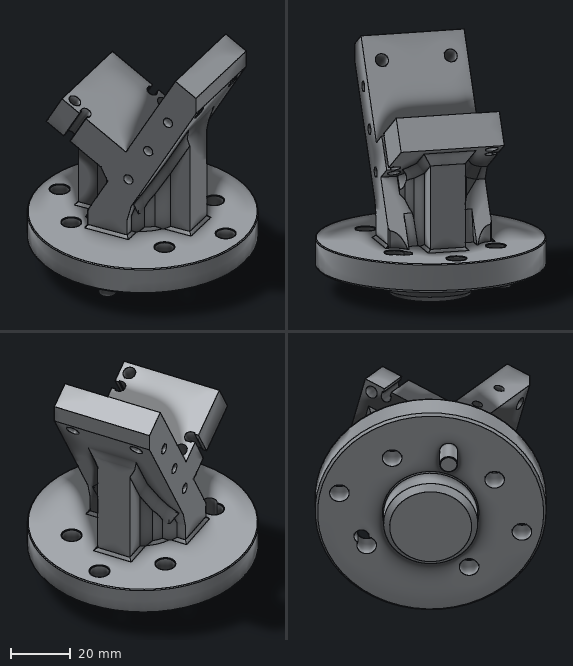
import cadquery as cq
import math

FLANGE_DIAMETER = 77.5
FLANGE_THICKNESS = 10.0
FLANGE_TOP_BREAK = 0.3
FLANGE_BOTTOM_CHAMFER = 0.85
BOSS_DIAMETER = 31.5
BOSS_HEIGHT = 9.0
BOSS_CHAMFER = 2.0
BOSS_ROOT = 0.4
PIN_DIAMETER = 6.0
PIN_CIRCLE_RADIUS = 25.0
PIN_END = 0.25
FLANGE_TOP = BOSS_HEIGHT + FLANGE_THICKNESS

BOLT_DIAMETER = 6.5
BOLT_BREAK = 0.25
BOLT_OFFSET = PIN_CIRCLE_RADIUS * math.sqrt(0.5)
OUTER_BOLT_RADIUS = 31.5
DOWEL_DIAMETER = 5.0
DOWEL_ANGLE = 144

TOTAL_HEIGHT = 84.5
TILT = math.radians(30)
PLATE_THICKNESS = 12.0
BRACKET_WIDTH = 36.0
SEAT_LENGTH = 28.05
BACK_LENGTH = 37.5
BACK_TIP_WIDTH = 9.0
CORNER_X = 3.2
CORNER_Z = TOTAL_HEIGHT - BACK_LENGTH * math.cos(TILT)

CROSS_HOLE_DIAMETER = 3.5
CROSS_HOLE_MIDDLE = 6.5
CROSS_HOLE_PITCH = 15.0
BACK_HOLE_DIAMETER = 4.5
BACK_HOLE_DISTANCE = 28.55
BACK_HOLE_Y = 12.0
SEAT_HOLE_DIAMETER = 4.3
SEAT_HOLE_Y = 14.45
SEAT_HOLE_NEAR = 3.55
SEAT_HOLE_FAR = 24.5
SLOT_WIDTH = 3.6
SLOT_NECK_WIDTH = 2.7
SLOT_CENTRE_Y = 15.4
SLOT_SHOULDER_Y = 16.5
SLOT_FROM_HOLE = 5.5

WEB_LENGTH = 42.2
WEB_WIDTH = 12.2
STEM_WIDTH = 7.4
CORE_RADIUS = 12.5
INNER_CHAMFER = 2.95
END_CHAMFER = 2.3
FOOT = 1.0

GUSSET_FOOT_X = -11.15
GUSSET_CORNER = 0.6
SCREW_CLEARANCE_RADIUS = 6.0
RELIEF_HEIGHT = 12.7
RELIEF_BOTTOM_X = -11.0
RELIEF_TOP_X = -8.45
RELIEF_HALF_WIDTH = 11.8

HEAD_RADIUS = 4.0
HEAD_DEPTH = 10.1
HEAD_INNER_Y = 12.3

HALF_WIDTH = BRACKET_WIDTH / 2
HALF_STEM = STEM_WIDTH / 2
HALF_WEB = WEB_WIDTH / 2
SIGNS = (1, -1)


def tilted(along_back, behind_back):
    """XZ point at distances up the back and behind its front face, from the inner corner."""
    x = CORNER_X + along_back * math.sin(TILT) + behind_back * math.cos(TILT)
    z = CORNER_Z + along_back * math.cos(TILT) - behind_back * math.sin(TILT)
    return x, z


def prism_along_y(points, width):
    return cq.Workplane("XZ").polyline(points).close().extrude(width / 2, both=True)


def make_base():
    radius = FLANGE_DIAMETER / 2
    flange = cq.Workplane("XY").workplane(offset=BOSS_HEIGHT).circle(radius).extrude(FLANGE_THICKNESS)
    flange = flange.faces(">Z").chamfer(FLANGE_TOP_BREAK)
    flange = flange.faces("<Z").chamfer(FLANGE_BOTTOM_CHAMFER)
    boss = cq.Workplane("XY").circle(BOSS_DIAMETER / 2).extrude(BOSS_HEIGHT)
    boss = boss.faces("<Z").chamfer(BOSS_CHAMFER)
    root = (
        cq.Workplane("XY").workplane(offset=BOSS_HEIGHT)
        .circle(BOSS_DIAMETER / 2 + BOSS_ROOT).extrude(-BOSS_ROOT, taper=45)
    )
    pin = (
        cq.Workplane("XY").workplane(offset=PIN_END).center(0, -PIN_CIRCLE_RADIUS)
        .circle(PIN_DIAMETER / 2).extrude(BOSS_HEIGHT - PIN_END)
        .faces("<Z").chamfer(PIN_END)
    )
    return flange.union(boss).union(root).union(pin)


def make_flange_holes():
    bolts = [(sx * BOLT_OFFSET, sy * BOLT_OFFSET) for sx in SIGNS for sy in SIGNS]
    bolts += [(sx * OUTER_BOLT_RADIUS, 0) for sx in SIGNS]
    top = cq.Workplane("XY").workplane(offset=FLANGE_TOP)
    holes = top.pushPoints(bolts).circle(BOLT_DIAMETER / 2).extrude(-FLANGE_THICKNESS)
    for x, y in bolts:
        mouth = top.center(x, y).circle(BOLT_DIAMETER / 2 + BOLT_BREAK).extrude(-BOLT_BREAK, taper=45)
        holes = holes.union(mouth)
    angle = math.radians(DOWEL_ANGLE)
    dowel = (
        top.center(PIN_CIRCLE_RADIUS * math.cos(angle), PIN_CIRCLE_RADIUS * math.sin(angle))
        .circle(DOWEL_DIAMETER / 2).extrude(-FLANGE_THICKNESS)
    )
    return holes.union(dowel)


def stem_chamfer_levels():
    """Upper X and Z, and lower Z, of the chamfer between the back underside and the stem."""
    rise = (HALF_STEM - tilted(0, PLATE_THICKNESS)[0]) / math.sin(TILT)
    top_x, top_z = tilted(rise + INNER_CHAMFER, PLATE_THICKNESS)
    bottom_z = tilted(rise, PLATE_THICKNESS)[1] - INNER_CHAMFER
    return top_x, top_z, bottom_z


def make_bracket():
    underside = PLATE_THICKNESS
    root_x, root_z, stem_z = stem_chamfer_levels()
    inner_x, inner_z = tilted(-underside, underside)
    middle_z = inner_z + inner_x * math.tan(TILT)
    tip_rise = (underside - BACK_TIP_WIDTH) / math.tan(TILT)
    return prism_along_y(
        [
            tilted(0, 0),
            tilted(BACK_LENGTH, 0),
            tilted(BACK_LENGTH, BACK_TIP_WIDTH),
            tilted(BACK_LENGTH - tip_rise, underside),
            (root_x, root_z),
            (HALF_STEM, stem_z),
            (0, stem_z),
            (0, middle_z),
            tilted(-underside, -SEAT_LENGTH),
            tilted(0, -SEAT_LENGTH),
        ],
        BRACKET_WIDTH,
    )


def column_corner():
    """Plan points of the +X +Y quarter, from the end of the web to the end of the stem."""
    web_meets_core = math.asin(HALF_WEB / CORE_RADIUS)
    stem_meets_core = math.acos(HALF_STEM / CORE_RADIUS)
    chamfer_angle = 2 * math.asin(INNER_CHAMFER / 2 / CORE_RADIUS)

    def on_core(angle):
        return CORE_RADIUS * math.cos(angle), CORE_RADIUS * math.sin(angle)

    return [
        (WEB_LENGTH / 2, HALF_WEB),
        (on_core(web_meets_core)[0] + INNER_CHAMFER, HALF_WEB),
        on_core(web_meets_core + chamfer_angle),
        on_core(stem_meets_core - chamfer_angle),
        (HALF_STEM, on_core(stem_meets_core)[1] + INNER_CHAMFER),
        (HALF_STEM, HALF_WIDTH),
    ]


def column_outline():
    corner = column_corner()
    right = [(x, -y) for x, y in reversed(corner)] + corner
    return right + [(-x, -y) for x, y in right]


def make_column():
    top = cq.Workplane("XY").workplane(offset=FLANGE_TOP)
    height = TOTAL_HEIGHT - FLANGE_TOP
    column = top.polyline(column_outline()).close().extrude(height)
    column = column.union(top.circle(CORE_RADIUS).extrude(height))

    grow = 2 * FOOT
    column = column.union(top.rect(WEB_LENGTH + grow, WEB_WIDTH + grow).extrude(FOOT, taper=45))
    column = column.union(top.circle(CORE_RADIUS + FOOT).extrude(FOOT, taper=45))

    far = TOTAL_HEIGHT
    below = prism_along_y(
        [
            tilted(-PLATE_THICKNESS, PLATE_THICKNESS),
            tilted(far, PLATE_THICKNESS),
            (far, -far),
            (-far, -far),
            tilted(-PLATE_THICKNESS, -far),
        ],
        FLANGE_DIAMETER,
    )
    return column.intersect(below)


def make_underside_chamfer(slope, clip_points):
    """Chamfer between the column and a plate underside rising at `slope` towards +X."""
    corner_x, corner_z = tilted(-PLATE_THICKNESS, PLATE_THICKNESS)
    centre_z = corner_z - corner_x * math.tan(slope)
    along = (math.cos(slope), 0, math.sin(slope))
    downward = (math.sin(slope), 0, -math.cos(slope))
    section = [(x / math.cos(slope), y) for x, y in column_outline()]
    lower_z = centre_z - INNER_CHAMFER / math.cos(slope)
    upper = cq.Workplane(cq.Plane((0, 0, centre_z), along, downward)).polyline(section).close()
    lower = cq.Workplane(cq.Plane((0, 0, lower_z), along, downward)).polyline(section).close()
    wires = [upper.offset2D(INNER_CHAMFER, "intersection").val(), lower.val()]
    wedge = cq.Workplane(cq.Solid.makeLoft(wires, True))
    return wedge.intersect(prism_along_y(clip_points, BRACKET_WIDTH))


def make_seat_chamfer():
    left = -WEB_LENGTH
    return make_underside_chamfer(
        -TILT, [(0, FLANGE_TOP), (0, TOTAL_HEIGHT), (left, TOTAL_HEIGHT), (left, FLANGE_TOP)]
    )


def make_back_chamfer():
    web_end = WEB_LENGTH / 2
    rise = (web_end - tilted(0, PLATE_THICKNESS)[0]) / math.sin(TILT)
    end_top = tilted(rise + END_CHAMFER, PLATE_THICKNESS)
    edge_z = tilted(rise, PLATE_THICKNESS)[1]
    end_bottom = (web_end, edge_z - END_CHAMFER)
    top_x, top_z, bottom_z = stem_chamfer_levels()
    return make_underside_chamfer(
        math.pi / 2 - TILT,
        [
            (0, bottom_z),
            (HALF_STEM, bottom_z),
            (top_x, top_z),
            (top_x, bottom_z),
            (web_end, bottom_z),
            end_bottom,
            end_top,
            (0, end_top[1]),
        ],
    )


def slope_behind_back():
    """Distance of the gusset slope behind the front face of the back."""
    return (INNER_CHAMFER + PLATE_THICKNESS) * math.tan(TILT) - (CORNER_X + HALF_STEM) / math.cos(TILT)


def make_gusset():
    behind = slope_behind_back()
    top_x, top_z = tilted(-PLATE_THICKNESS - INNER_CHAMFER, behind)
    toe_x = top_x - (top_z - FLANGE_TOP) * math.tan(TILT)
    gusset = prism_along_y([(top_x, top_z), (toe_x, FLANGE_TOP), (0, FLANGE_TOP), (0, top_z)], BRACKET_WIDTH)

    height = top_z - FLANGE_TOP
    top = cq.Workplane("XY").workplane(offset=FLANGE_TOP)

    foot_length = HALF_STEM - GUSSET_FOOT_X
    foot = (
        top.center(HALF_STEM - foot_length / 2, 0)
        .rect(foot_length + 2 * FOOT, BRACKET_WIDTH + 2 * FOOT).extrude(FOOT, taper=45)
    )
    gusset = gusset.union(foot)

    for side in SIGNS:
        bolt = top.center(-BOLT_OFFSET, side * BOLT_OFFSET)
        clearance = bolt.circle(SCREW_CLEARANCE_RADIUS).extrude(height)
        corner = top.polyline(
            [
                (GUSSET_FOOT_X, side * HALF_WIDTH),
                (GUSSET_FOOT_X - GUSSET_CORNER, side * (HALF_WIDTH - GUSSET_CORNER)),
                (GUSSET_FOOT_X - GUSSET_CORNER, side * HALF_WIDTH),
            ]
        ).close().extrude(height)
        gusset = gusset.cut(clearance).cut(corner)

    relief = prism_along_y(
        [
            (RELIEF_BOTTOM_X, FLANGE_TOP),
            (RELIEF_TOP_X, FLANGE_TOP + RELIEF_HEIGHT),
            (-WEB_LENGTH / 2, FLANGE_TOP + RELIEF_HEIGHT),
            (-WEB_LENGTH / 2, FLANGE_TOP),
        ],
        2 * RELIEF_HALF_WIDTH,
    )
    return gusset.cut(relief)


def make_edge_slot(workplane, side):
    """Round-ended slot that narrows to a neck before it leaves the seat edge on that side."""
    body = SLOT_SHOULDER_Y - SLOT_CENTRE_Y
    neck = HALF_WIDTH - SLOT_CENTRE_Y
    centre = workplane.center(0, side * SLOT_CENTRE_Y)
    slot = centre.circle(SLOT_WIDTH / 2).extrude(-PLATE_THICKNESS)
    for length, width in ((body, SLOT_WIDTH), (neck, SLOT_NECK_WIDTH)):
        slot = slot.union(centre.center(0, side * length / 2).rect(width, length).extrude(-PLATE_THICKNESS))
    return slot


def make_head_clearance():
    """Pocket under the near seat hole, beside the gusset slope and open to the +Y side."""
    origin_x, origin_z = tilted(-PLATE_THICKNESS, -SEAT_HOLE_NEAR)
    into_back = (math.cos(TILT), 0, -math.sin(TILT))
    up_back = (math.sin(TILT), 0, math.cos(TILT))
    underside = cq.Workplane(cq.Plane((origin_x, 0, origin_z), into_back, up_back))
    round_end = underside.center(0, SEAT_HOLE_Y).circle(HEAD_RADIUS).extrude(-HEAD_DEPTH)
    reach = slope_behind_back() + SEAT_HOLE_NEAR
    opening = underside.polyline(
        [
            (-HEAD_RADIUS, SEAT_HOLE_Y),
            (0, HEAD_INNER_Y),
            (reach, HEAD_INNER_Y),
            (reach, HALF_WIDTH),
            (-HEAD_RADIUS, HALF_WIDTH),
        ]
    ).close().extrude(-HEAD_DEPTH)
    return round_end.union(opening)


def make_bracket_holes():
    cross_points = [
        tilted(CROSS_HOLE_MIDDLE + step * CROSS_HOLE_PITCH, PLATE_THICKNESS / 2) for step in (-1, 0, 1)
    ]
    cutters = (
        cq.Workplane("XZ").pushPoints(cross_points)
        .circle(CROSS_HOLE_DIAMETER / 2).extrude(HALF_WIDTH, both=True)
    )

    corner = (CORNER_X, 0, CORNER_Z)
    up_back = (math.sin(TILT), 0, math.cos(TILT))
    into_back = (math.cos(TILT), 0, -math.sin(TILT))
    back = cq.Workplane(cq.Plane(corner, up_back, into_back))
    back_points = [(BACK_HOLE_DISTANCE, side * BACK_HOLE_Y) for side in SIGNS]
    cutters = cutters.union(
        back.pushPoints(back_points).circle(BACK_HOLE_DIAMETER / 2).extrude(PLATE_THICKNESS)
    )

    seat = cq.Workplane(cq.Plane(corner, into_back, up_back))
    for side, distance in ((1, SEAT_HOLE_NEAR), (-1, SEAT_HOLE_FAR)):
        hole = seat.center(-distance, side * SEAT_HOLE_Y).circle(SEAT_HOLE_DIAMETER / 2)
        cutters = cutters.union(hole.extrude(-PLATE_THICKNESS))
        cutters = cutters.union(make_edge_slot(seat.center(-distance - side * SLOT_FROM_HOLE, 0), side))
    return cutters


result = (
    make_base()
    .union(make_column())
    .union(make_gusset())
    .union(make_seat_chamfer())
    .union(make_back_chamfer())
    .cut(make_head_clearance())
    .union(make_bracket())
    .cut(make_flange_holes())
    .cut(make_bracket_holes())
)